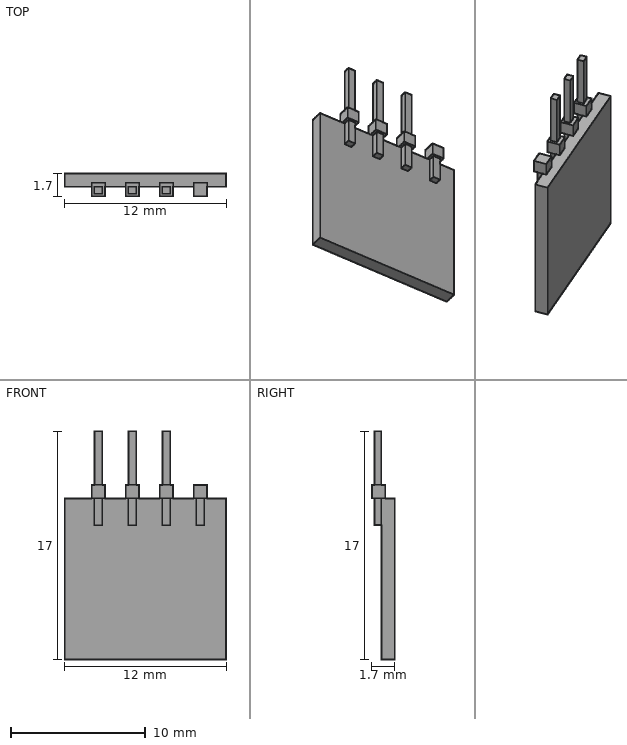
import cadquery as cq

board_side = 12.0
board_thickness = 1.0

total_height = 17.0
pin_pitch = 2.53
pin_count = 4
first_pin_x = -3.5
pin_width = 0.6
pin_depth = 0.51
pin_overlap = 2.0

collar_size = 1.0
collar_front_y = -0.7
collar_top = board_side + collar_size


def box_between(center_x, width, front_y, depth, bottom_z, top_z):
    """Box centred on center_x, reaching back from front_y."""
    return cq.Workplane("XY").box(
        width, depth, top_z - bottom_z, centered=(True, False, False)
    ).translate((center_x, front_y, bottom_z))


result = box_between(0, board_side, 0, board_thickness, 0, board_side)

for index in range(pin_count):
    pin_x = first_pin_x + index * pin_pitch
    is_last = index == pin_count - 1
    pin_top = collar_top if is_last else total_height
    collar = box_between(pin_x, collar_size, collar_front_y, collar_size, board_side, collar_top)
    pin = box_between(pin_x, pin_width, -pin_depth, pin_depth, board_side - pin_overlap, pin_top)
    result = result.union(collar).union(pin)